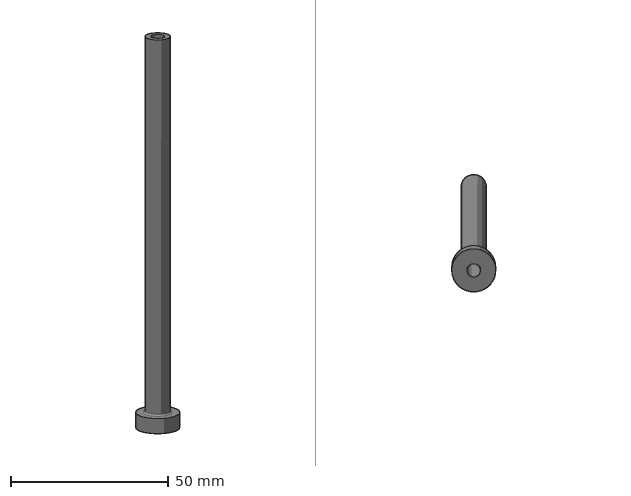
import cadquery as cq

total_length = 130.0
head_diameter = 14.0
head_height = 5.1
shaft_diameter = 8.0
bore_diameter = 4.3
neck_fillet_radius = 0.5

head = cq.Workplane("XY").circle(head_diameter / 2).extrude(head_height)
shaft = cq.Workplane("XY").circle(shaft_diameter / 2).extrude(total_length)
sleeve = head.union(shaft)

neck_corner = cq.selectors.RadiusNthSelector(0)
sleeve = sleeve.faces("<Z[-2]").edges(neck_corner).fillet(neck_fillet_radius)

bore = cq.Workplane("XY").circle(bore_diameter / 2).extrude(total_length)
result = sleeve.cut(bore)